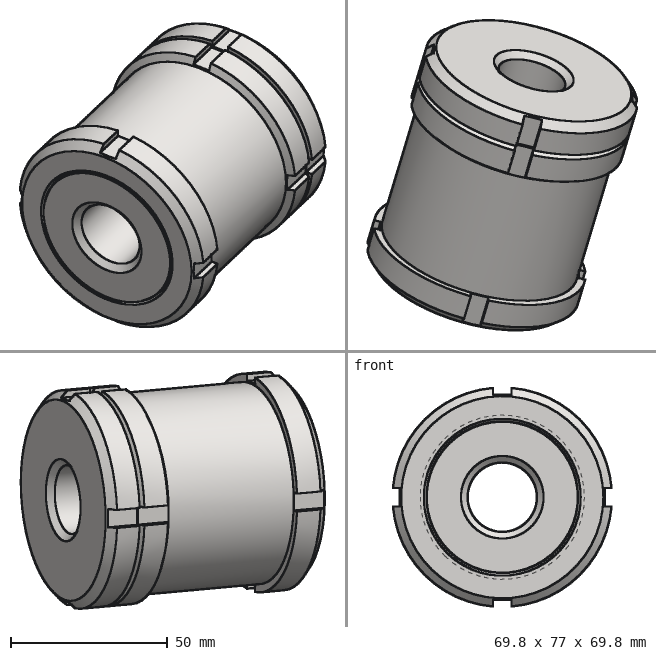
import cadquery as cq

length = 77.0
flange_diameter = 70.0
body_diameter = 64.75

end_chamfer = 2.8
front_flange_width = 11.0
rear_nut_width = 10.7
nut_gap = 0.2
gap_floor_diameter = 52.35
middle_nut_width = 11.2
middle_chamfer_width = 1.5

slot_width = 5.85
slot_floor_radius = 32.7
slot_count = 4

bore_diameter = 22.0
bore_chamfer = 2.15
core_diameter = 48.1
flange_bore_diameter = 48.35
flange_bore_chamfer = 0.85

front_y = -length / 2
rear_y = length / 2
flange_radius = flange_diameter / 2
body_radius = body_diameter / 2
bore_radius = bore_diameter / 2
core_radius = core_diameter / 2
flange_bore_radius = flange_bore_diameter / 2
end_face_radius = flange_radius - end_chamfer
rear_nut_y = rear_y - rear_nut_width
middle_nut_rear_y = rear_nut_y - nut_gap
middle_nut_front_y = middle_nut_rear_y - middle_nut_width
front_flange_y = front_y + front_flange_width


def revolve_profile(points):
    """Revolve (radius, y) points about the Y axis."""
    return cq.Workplane("XY").polyline(points).close().revolve(360, (0, 0, 0), (0, 1, 0))


def make_turned_body():
    """Body with the front flange, the middle nut and the rear nut, bored through."""
    return revolve_profile([
        (bore_radius + bore_chamfer, front_y),
        (end_face_radius, front_y),
        (flange_radius, front_y + end_chamfer),
        (flange_radius, front_flange_y),
        (body_radius, front_flange_y),
        (body_radius, middle_nut_front_y),
        (flange_radius, middle_nut_front_y + middle_chamfer_width),
        (flange_radius, middle_nut_rear_y - middle_chamfer_width),
        (body_radius, middle_nut_rear_y),
        (gap_floor_diameter / 2, middle_nut_rear_y),
        (gap_floor_diameter / 2, rear_nut_y),
        (flange_radius, rear_nut_y),
        (flange_radius, rear_y - end_chamfer),
        (end_face_radius, rear_y),
        (bore_radius + bore_chamfer, rear_y),
        (bore_radius, rear_y - bore_chamfer),
        (bore_radius, front_y + bore_chamfer),
    ])


def make_ring_gap():
    """Narrow chamfered gap between the core and the bore of the front flange."""
    return revolve_profile([
        (core_radius, front_y),
        (flange_bore_radius + flange_bore_chamfer, front_y),
        (flange_bore_radius, front_y + flange_bore_chamfer),
        (flange_bore_radius, front_flange_y),
        (core_radius, front_flange_y),
    ])


def make_slot(angle):
    """Flat-floored cutter along the full length; its floor clears the body."""
    slot_depth = flange_radius - slot_floor_radius
    cutter = cq.Workplane("XY").box(slot_width, length, slot_depth)
    centre_radius = slot_floor_radius + slot_depth / 2
    return cutter.translate((0, 0, centre_radius)).rotate((0, 0, 0), (0, 1, 0), angle)


result = make_turned_body().cut(make_ring_gap())
for slot_index in range(slot_count):
    result = result.cut(make_slot(slot_index * 360 / slot_count))